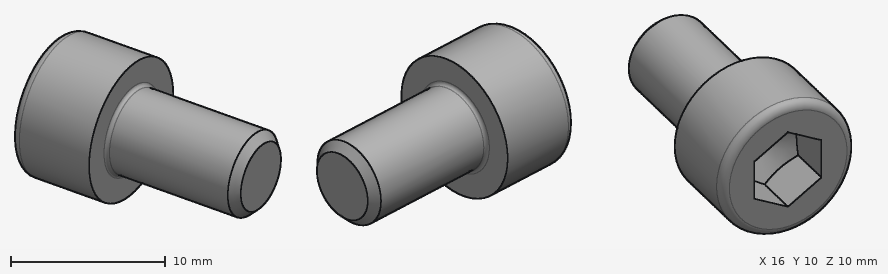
import cadquery as cq
import math

total_length = 16.0
head_diameter = 10.0
head_height = 6.0
shank_diameter = head_height
head_rim_radius = 0.6
neck_fillet_radius = 0.25
tip_chamfer = 0.6
socket_width = head_diameter / 2
socket_depth = 3.0
socket_cone_angle = 120.0

head_radius = head_diameter / 2
shank_radius = shank_diameter / 2
head_face_x = -total_length / 2
head_seat_x = head_face_x + head_height

socket_corner_radius = socket_width / math.sqrt(3)
cone_depth = socket_corner_radius / math.tan(math.radians(socket_cone_angle / 2))


def make_body():
    """Head and shank as one turned profile, revolved about X."""
    rim_x = head_face_x + head_rim_radius
    neck_x = head_seat_x + neck_fillet_radius
    tip_x = head_face_x + total_length
    profile = (
        cq.Workplane("XY")
        .moveTo(head_face_x, 0)
        .lineTo(head_face_x, head_radius - head_rim_radius)
        .radiusArc((rim_x, head_radius), head_rim_radius)
        .lineTo(head_seat_x, head_radius)
        .lineTo(head_seat_x, shank_radius + neck_fillet_radius)
        .radiusArc((neck_x, shank_radius), -neck_fillet_radius)
        .lineTo(tip_x - tip_chamfer, shank_radius)
        .lineTo(tip_x, shank_radius - tip_chamfer)
        .lineTo(tip_x, 0)
        .close()
    )
    return profile.revolve(360, (0, 0, 0), (1, 0, 0))


def make_socket():
    """Hexagonal socket trimmed by a conical bottom."""
    hexagon = (
        cq.Workplane("YZ", origin=(head_face_x, 0, 0))
        .polygon(6, 2 * socket_corner_radius)
        .extrude(socket_depth + cone_depth)
        .rotate((0, 0, 0), (1, 0, 0), 90)
    )
    drill_shape = (
        cq.Workplane("XY")
        .moveTo(head_face_x, 0)
        .lineTo(head_face_x, socket_corner_radius)
        .lineTo(head_face_x + socket_depth, socket_corner_radius)
        .lineTo(head_face_x + socket_depth + cone_depth, 0)
        .close()
        .revolve(360, (0, 0, 0), (1, 0, 0))
    )
    return hexagon.intersect(drill_shape)


result = make_body().cut(make_socket())